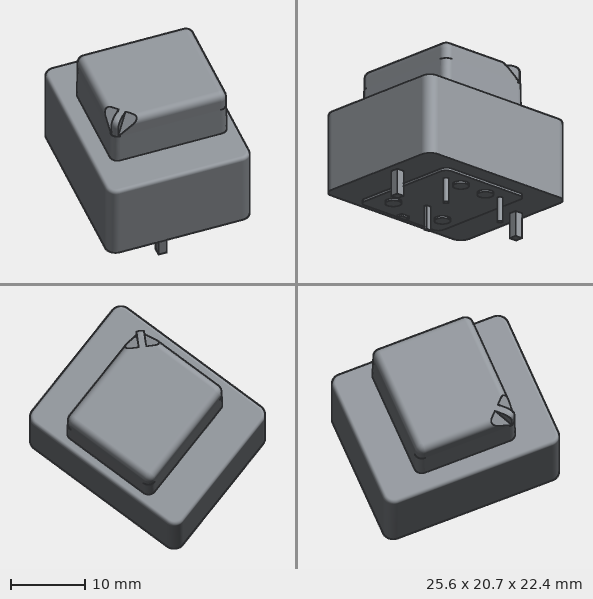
import cadquery as cq
import math


housing_length = 25.55
housing_width = 20.7
housing_height = 11.57
housing_corner_radius = 1.5
housing_top_radius = 0.5

cap_center_y = 0.61
cap_height = 7.03
cap_seam_height = 4.45
cap_base_length = 14.6
cap_base_width = 16.74
cap_draft_angle = 1.0
cap_draft_inset = cap_seam_height * math.tan(math.radians(cap_draft_angle))
cap_top_length = cap_base_length - 2 * cap_draft_inset
cap_top_width = cap_base_width - 2 * cap_draft_inset
cap_corner_radius = 1.07
cap_top_radius = 1.02
cap_top_z = housing_height + cap_height

bevel_reach = 3.0
rib_width = 1.02

plate_length = 14.72
plate_width = 16.91
plate_thickness = 0.38
plate_corner_radius = 1.02
standoff_height = 0.3
standoff_depth = plate_thickness + standoff_height
disc_diameter = 2.2
disc_centers = [(-4.55, 5.4), (4.55, 5.4), (-2.27, -5.4), (2.27, -5.4)]
pad_length = 1.43
pad_width = 0.85
pad_center_y = 8.25

terminal_length = 3.8
round_pin_diameter = 0.8
round_pin_x = 5.0
round_pin_y = -5.37
flat_pin_width = 0.8
flat_pin_thickness = 0.43
flat_pin_y = 3.5
post_size = 1.2
post_length = 3.6
post_x = 10.99
post_y = -2.17


def rounded_block(length, width, height, corner_radius, bottom_z, center_y=0.0):
    """Block with rounded vertical edges, standing on bottom_z."""
    block = cq.Workplane("XY", origin=(0, center_y, bottom_z)).rect(length, width).extrude(height)
    return block.edges("|Z").fillet(corner_radius)


def hanging(outline, depth):
    """Extrude a sketch that lies on Z = 0 downward by depth."""
    return outline.extrude(-depth)


def make_housing():
    block = rounded_block(housing_length, housing_width, housing_height, housing_corner_radius, 0)
    return block.faces(">Z").edges().fillet(housing_top_radius)


def make_corner_bevel():
    """45 degree wedge over the +X, -Y cap corner, in two halves either side of the rib.

    The profile lies in the upright plane through the corner's diagonal: local x runs
    outward from the corner and local y runs up from the cap top.
    """
    corner_x = cap_top_length / 2
    corner_y = cap_center_y - cap_top_width / 2
    diagonal = cq.Plane(origin=(corner_x, corner_y, cap_top_z), xDir=(1, -1, 0), normal=(-1, -1, 0))
    wedge = (
        cq.Workplane(diagonal)
        .polyline([(-bevel_reach, 0), (0, 0), (0, -bevel_reach)])
        .close()
        .extrude(bevel_reach, both=True)
    )
    rib_span = 4 * bevel_reach
    rib = cq.Workplane(diagonal).rect(rib_span, rib_span).extrude(rib_width / 2, both=True)
    return wedge.cut(rib)


def make_cap():
    outline = cq.Sketch().rect(cap_base_length, cap_base_width).vertices().fillet(cap_corner_radius)
    lower = (
        cq.Workplane("XY", origin=(0, cap_center_y, housing_height))
        .placeSketch(outline)
        .extrude(cap_seam_height, taper=cap_draft_angle)
    )
    upper = rounded_block(
        cap_top_length,
        cap_top_width,
        cap_height - cap_seam_height,
        cap_corner_radius,
        housing_height + cap_seam_height,
        cap_center_y,
    )
    upper = upper.faces(">Z").edges().fillet(cap_top_radius)
    return lower.union(upper).cut(make_corner_bevel())


def make_base():
    plate = rounded_block(
        plate_length, plate_width, plate_thickness, plate_corner_radius, -plate_thickness, cap_center_y
    )
    discs = hanging(cq.Workplane("XY").pushPoints(disc_centers).circle(disc_diameter / 2), standoff_depth)
    pad = hanging(cq.Workplane("XY").center(0, pad_center_y).rect(pad_length, pad_width), standoff_depth)
    return plate.union(discs).union(pad)


def make_terminals():
    round_centers = [(-round_pin_x, round_pin_y), (round_pin_x, round_pin_y)]
    post_centers = [(-post_x, post_y), (post_x, post_y)]
    round_pins = hanging(
        cq.Workplane("XY").pushPoints(round_centers).circle(round_pin_diameter / 2), terminal_length
    )
    flat_pin = hanging(
        cq.Workplane("XY").center(0, flat_pin_y).rect(flat_pin_width, flat_pin_thickness), terminal_length
    )
    posts = hanging(cq.Workplane("XY").pushPoints(post_centers).rect(post_size, post_size), post_length)
    return round_pins.union(flat_pin).union(posts)


result = make_housing().union(make_cap()).union(make_base()).union(make_terminals())